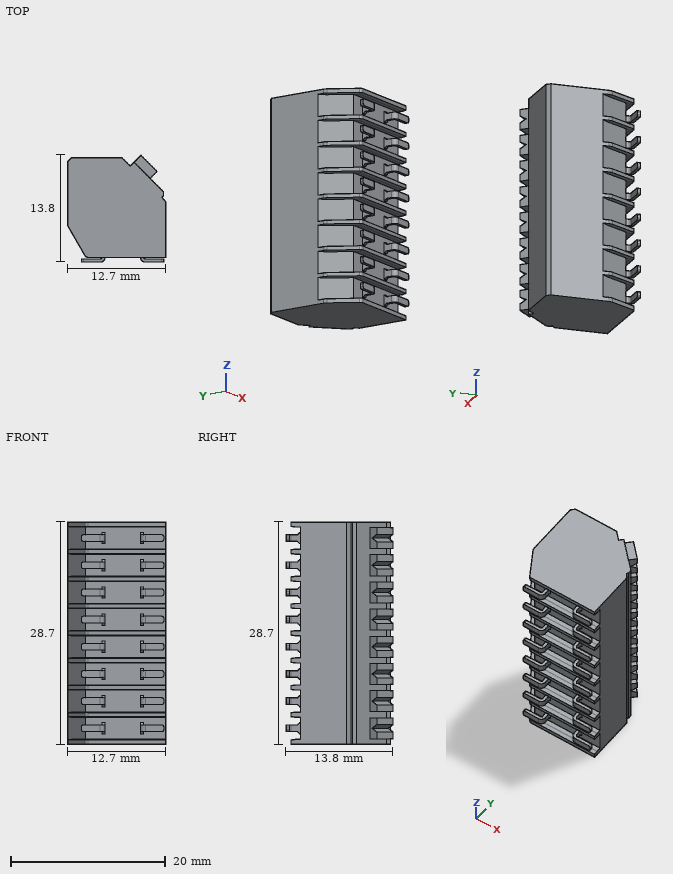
import cadquery as cq
import math

POLE_COUNT = 8
PITCH = 3.51
LENGTH = 28.7
END_MARGIN = (LENGTH - POLE_COUNT * PITCH) / 2

WIDTH = 12.7
HEIGHT = 12.9
REAR_CHAMFER = 0.5
SLANT_START = 4.12
SLANT_ANGLE = math.radians(60)
SLANT_FOOT = SLANT_START / math.tan(SLANT_ANGLE)
SLANT_TOP_RADIUS = 1.0
SLANT_FOOT_RADIUS = 0.5
TOP_END = 7.02
SLOPE_SUM = 20.9
LIP_BOTTOM = 7.98
LIP_X = 12.4
LIP_NOTCH_X = 12.2
LIP_NOTCH_Y = 7.78
FRONT_TOP = 7.2

BUTTON_FACE_SUM = 22.69
BUTTON_UPPER_DIFF = 3.75
BUTTON_LOWER_DIFF = -0.45
BUTTON_WIDTH = 2.72
BUTTON_ROOT = 1.0
GROOVE_WIDTH = 0.98
GROOVE_DEPTH = 0.9

POCKET_MOUTH_WIDTH = 3.0
POCKET_FLOOR_WIDTH = 2.82
FRONT_POCKET_DEPTH = 1.23
SLANT_POCKET_START = 5.26
SLANT_POCKET_DEPTH = (SLANT_POCKET_START - SLANT_START) * math.cos(SLANT_ANGLE)
POCKET_BEVEL_DEPTH = SLANT_POCKET_DEPTH
CLEARANCE = 1.0

PIN_THICKNESS = 0.44
PIN_WIDTH = 0.88
PIN_STANDOFF = 0.16
PIN_INNER_RADIUS = 0.2
PIN_OUTER_RADIUS = PIN_INNER_RADIUS + PIN_THICKNESS
FOOT_CORNER_RADIUS = 0.3
FLARE_WIDTH = 1.46
FLARE_START = 0.85
PIN_EMBEDMENT = 0.5
PIN_ROOT = FRONT_POCKET_DEPTH + PIN_EMBEDMENT
PIN_POSITIONS = ((4.86, 1.78), (9.4, 12.44))


def pole_centre(index):
    return END_MARGIN + (index + 0.5) * PITCH


def on_45(total, difference):
    """Point where X + Y = total and Y - X = difference."""
    return ((total - difference) / 2, (total + difference) / 2)


def make_housing():
    outline = [
        (SLANT_FOOT, 0),
        (WIDTH, 0),
        (WIDTH, FRONT_TOP),
        (LIP_NOTCH_X, LIP_NOTCH_Y),
        (LIP_X, LIP_BOTTOM),
        (LIP_X, SLOPE_SUM - LIP_X),
        on_45(SLOPE_SUM, BUTTON_UPPER_DIFF),
        on_45(TOP_END + HEIGHT, BUTTON_UPPER_DIFF),
        (TOP_END, HEIGHT),
        (REAR_CHAMFER, HEIGHT),
        (0, HEIGHT - REAR_CHAMFER),
        (0, SLANT_START),
    ]
    housing = cq.Workplane("XY").polyline(outline).close().extrude(LENGTH)
    upper_edge = cq.selectors.NearestToPointSelector((0, SLANT_START, LENGTH / 2))
    foot_edge = cq.selectors.NearestToPointSelector((SLANT_FOOT, 0, LENGTH / 2))
    housing = housing.edges(upper_edge).fillet(SLANT_TOP_RADIUS)
    return housing.edges(foot_edge).fillet(SLANT_FOOT_RADIUS)


def make_mouth_bevel():
    """Trapezoidal cutter along X, opening towards -Y, mouth at Y = 0, centred on Z = 0."""
    half_mouth = POCKET_MOUTH_WIDTH / 2
    half_floor = POCKET_FLOOR_WIDTH / 2
    bevel_slope = (half_mouth - half_floor) / POCKET_BEVEL_DEPTH
    half_open = half_mouth + CLEARANCE * bevel_slope
    section = [
        (-CLEARANCE, -half_open),
        (POCKET_BEVEL_DEPTH, -half_floor),
        (POCKET_BEVEL_DEPTH, half_floor),
        (-CLEARANCE, half_open),
    ]
    return cq.Workplane("YZ").polyline(section).close().extrude(WIDTH + CLEARANCE, both=True)


def make_recess(width):
    """Straight-sided space between two ribs, bounded inside by the front and slanted floors."""
    slope = math.tan(SLANT_ANGLE)
    floor_corner = ((SLANT_POCKET_START - FRONT_POCKET_DEPTH) / slope, FRONT_POCKET_DEPTH)
    outline = [
        (-CLEARANCE, -CLEARANCE),
        (WIDTH + CLEARANCE, -CLEARANCE),
        (WIDTH + CLEARANCE, FRONT_POCKET_DEPTH),
        floor_corner,
        (-CLEARANCE, SLANT_POCKET_START + CLEARANCE * slope),
    ]
    return cq.Workplane("XY").polyline(outline).close().extrude(width / 2, both=True)


def make_pocket():
    front = make_mouth_bevel()
    slant = front.rotate((0, 0, 0), (0, 0, 1), -math.degrees(SLANT_ANGLE))
    slant = slant.translate((SLANT_FOOT, 0, 0))
    rear = front.rotate((0, 0, 0), (0, 0, 1), -90)
    mouth = make_recess(POCKET_MOUTH_WIDTH).intersect(front.union(slant).union(rear))
    return make_recess(POCKET_FLOOR_WIDTH).union(mouth)


def make_button():
    corners = [
        on_45(BUTTON_FACE_SUM, BUTTON_UPPER_DIFF),
        on_45(BUTTON_FACE_SUM, BUTTON_LOWER_DIFF),
        on_45(SLOPE_SUM - BUTTON_ROOT, BUTTON_LOWER_DIFF),
        on_45(SLOPE_SUM - BUTTON_ROOT, BUTTON_UPPER_DIFF),
    ]
    block = cq.Workplane("XY").polyline(corners).close().extrude(BUTTON_WIDTH / 2, both=True)
    apex = corners[0]
    face = cq.Plane(origin=(apex[0], apex[1], 0), xDir=(0, 0, 1), normal=(1, -1, 0))
    run = (BUTTON_UPPER_DIFF - BUTTON_LOWER_DIFF) / math.sqrt(2)
    groove = (
        cq.Workplane(face)
        .polyline([(-GROOVE_WIDTH / 2, 0), (GROOVE_WIDTH / 2, 0), (0, GROOVE_DEPTH)])
        .close()
        .extrude(run)
    )
    return block.cut(groove)


def make_pin(leg_face, foot_tip):
    side = math.copysign(1, foot_tip - leg_face)
    foot_top = -PIN_STANDOFF
    foot_bottom = foot_top - PIN_THICKNESS
    leg_inner = leg_face + side * PIN_THICKNESS
    bend_end = leg_face + side * PIN_OUTER_RADIUS
    bend_y = foot_bottom + PIN_OUTER_RADIUS
    diagonal = math.sqrt(0.5)

    def on_bend(radius):
        return (bend_end - side * radius * diagonal, bend_y - radius * diagonal)

    pin = (
        cq.Workplane("XY")
        .moveTo(leg_face, PIN_ROOT)
        .lineTo(leg_face, bend_y)
        .threePointArc(on_bend(PIN_OUTER_RADIUS), (bend_end, foot_bottom))
        .lineTo(foot_tip, foot_bottom)
        .lineTo(foot_tip, foot_top)
        .lineTo(bend_end, foot_top)
        .threePointArc(on_bend(PIN_INNER_RADIUS), (leg_inner, bend_y))
        .lineTo(leg_inner, PIN_ROOT)
        .close()
        .extrude(PIN_WIDTH / 2, both=True)
    )
    tip_face = ">X" if side > 0 else "<X"
    pin = pin.faces(tip_face).edges("|Y").fillet(FOOT_CORNER_RADIUS)

    flare_rise = (FLARE_WIDTH - PIN_WIDTH) / 2
    flare = (
        cq.Workplane("YZ", origin=(leg_face, 0, 0))
        .moveTo(FLARE_START, -PIN_WIDTH / 2)
        .lineTo(FLARE_START + flare_rise, -FLARE_WIDTH / 2)
        .lineTo(PIN_ROOT, -FLARE_WIDTH / 2)
        .lineTo(PIN_ROOT, FLARE_WIDTH / 2)
        .lineTo(FLARE_START + flare_rise, FLARE_WIDTH / 2)
        .lineTo(FLARE_START, PIN_WIDTH / 2)
        .close()
        .extrude(side * PIN_THICKNESS)
    )
    return pin.union(flare)


def make_part():
    pocket = make_pocket()
    additions = [make_button()]
    for leg_face, foot_tip in PIN_POSITIONS:
        additions.append(make_pin(leg_face, foot_tip))
    part = make_housing()
    for index in range(POLE_COUNT):
        part = part.cut(pocket.translate((0, 0, pole_centre(index))))
    for index in range(POLE_COUNT):
        for addition in additions:
            part = part.union(addition.translate((0, 0, pole_centre(index))))
    return part


result = make_part()